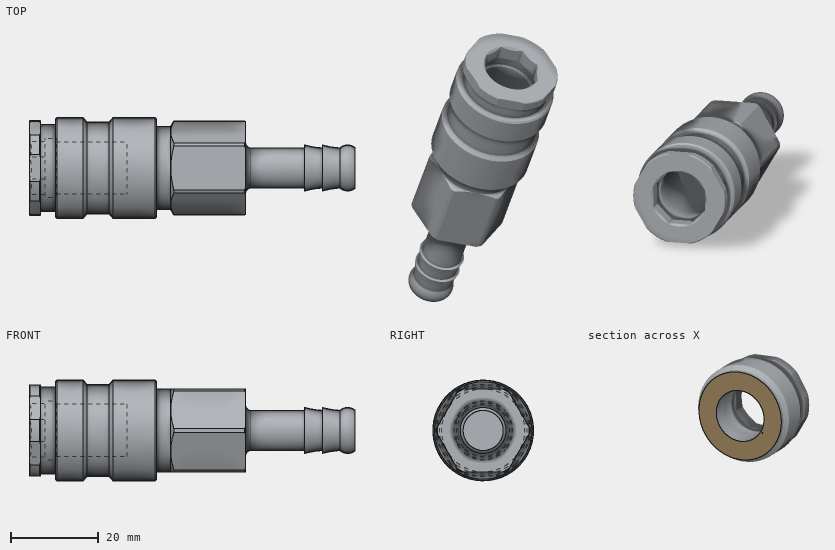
import cadquery as cq
import math

TOTAL_LENGTH = 74.5

COLLAR_DIAMETER = 21.75
COLLAR_ACROSS_FLATS = 20.85
COLLAR_LENGTH = 2.6
COLLAR_CHAMFER = 0.2

NECK_DIAMETER = 20.0
SLEEVE_START = 5.95
SLEEVE_END = 29.1
SLEEVE_DIAMETER = 23.0
SLEEVE_CHAMFER = 0.4
GROOVE_DIAMETER = 21.0
GROOVE_START = 13.2
GROOVE_END = 18.25
GROOVE_SLOPE_LENGTH = 0.9

NUT_START = 32.3
NUT_END = 49.5
NUT_ACROSS_FLATS = 19.0
NUT_DIAMETER = 21.45
NUT_CHAMFER_ANGLE = 30.0
NUT_REAR_CHAMFER = 0.2

STEM_DIAMETER = 9.2
STEM_FILLET = 1.1
BARB_DIAMETER = 10.5
BARB_START = 62.95
BARB_PITCH = 4.0
BARB_COUNT = 2
BARB_SAG = 0.11
BULB_PEAK_FROM_END = 1.8

MOUTH_DIAMETER = 13.25
MOUTH_CHAMFER_DEPTH = 0.5
OCTAGON_ACROSS_FLATS = 12.2
OCTAGON_DEPTH = 3.65
CHAMBER_DIAMETER = 13.5
CHAMBER_DEPTH = 6.1
BORE_DIAMETER = 12.0
BORE_DEPTH = 22.35


def cylinder(start, end, diameter):
    """Solid cylinder along X."""
    return cq.Workplane("YZ", origin=(start, 0, 0)).circle(diameter / 2).extrude(end - start)


def prism(start, end, sides, across_flats):
    """Regular even-sided prism along X, with flats facing +Z and -Z."""
    across_corners = across_flats / math.cos(math.pi / sides)
    return (
        cq.Workplane("YZ", origin=(start, 0, 0))
        .transformed(rotate=(0, 0, 90 + 180 / sides))
        .polygon(sides, across_corners)
        .extrude(end - start)
    )


def revolve_about_x(profile):
    """Turn a closed XY profile about the X axis."""
    return profile.close().revolve(360, (0, 0, 0), (1, 0, 0))


def make_collar():
    disc = cylinder(0, COLLAR_LENGTH, COLLAR_DIAMETER).edges().chamfer(COLLAR_CHAMFER)
    return disc.intersect(prism(0, COLLAR_LENGTH, 6, COLLAR_ACROSS_FLATS))


def make_sleeve():
    sleeve = cylinder(SLEEVE_START, SLEEVE_END, SLEEVE_DIAMETER).edges().chamfer(SLEEVE_CHAMFER)
    outer = SLEEVE_DIAMETER / 2
    inner = GROOVE_DIAMETER / 2
    groove = revolve_about_x(
        cq.Workplane("XY")
        .moveTo(GROOVE_START - GROOVE_SLOPE_LENGTH, outer)
        .lineTo(GROOVE_START, inner)
        .lineTo(GROOVE_END, inner)
        .lineTo(GROOVE_END + GROOVE_SLOPE_LENGTH, outer)
    )
    return sleeve.cut(groove)


def make_nut():
    outer = NUT_DIAMETER / 2
    flat = NUT_ACROSS_FLATS / 2
    front_chamfer = (outer - flat) * math.tan(math.radians(NUT_CHAMFER_ANGLE))
    envelope = revolve_about_x(
        cq.Workplane("XY")
        .moveTo(NUT_START, 0)
        .lineTo(NUT_START, flat)
        .lineTo(NUT_START + front_chamfer, outer)
        .lineTo(NUT_END - NUT_REAR_CHAMFER, outer)
        .lineTo(NUT_END, outer - NUT_REAR_CHAMFER)
        .lineTo(NUT_END, 0)
    )
    return envelope.intersect(prism(NUT_START, NUT_END, 6, NUT_ACROSS_FLATS))


def make_stem():
    stem = STEM_DIAMETER / 2
    barb = BARB_DIAMETER / 2
    fillet_bend = STEM_FILLET * (1 - math.sqrt(0.5))
    profile = (
        cq.Workplane("XY")
        .moveTo(NUT_END, 0)
        .lineTo(NUT_END, stem + STEM_FILLET)
        .threePointArc((NUT_END + fillet_bend, stem + fillet_bend), (NUT_END + STEM_FILLET, stem))
        .lineTo(BARB_START, stem)
    )
    for index in range(BARB_COUNT):
        start = BARB_START + index * BARB_PITCH
        middle = (start + BARB_PITCH / 2, (stem + barb) / 2 - BARB_SAG)
        profile = profile.lineTo(start, barb).threePointArc(middle, (start + BARB_PITCH, stem))
    bulb_peak = (TOTAL_LENGTH - BULB_PEAK_FROM_END, barb)
    profile = profile.threePointArc(bulb_peak, (TOTAL_LENGTH, stem)).lineTo(TOTAL_LENGTH, 0)
    return revolve_about_x(profile)


def make_socket():
    mouth = (
        cq.Workplane("XY")
        .lineTo(0, MOUTH_DIAMETER / 2)
        .lineTo(MOUTH_CHAMFER_DEPTH, OCTAGON_ACROSS_FLATS / 2)
        .lineTo(MOUTH_CHAMFER_DEPTH, 0)
    )
    return (
        prism(0, OCTAGON_DEPTH, 8, OCTAGON_ACROSS_FLATS)
        .union(revolve_about_x(mouth))
        .union(cylinder(OCTAGON_DEPTH, CHAMBER_DEPTH, CHAMBER_DIAMETER))
        .union(cylinder(CHAMBER_DEPTH, BORE_DEPTH, BORE_DIAMETER))
    )


front_neck = cylinder(COLLAR_LENGTH, SLEEVE_START, NECK_DIAMETER)
rear_neck = cylinder(SLEEVE_END, NUT_START, NUT_ACROSS_FLATS)

body = make_collar()
for section in (front_neck, make_sleeve(), rear_neck, make_nut(), make_stem()):
    body = body.union(section)

result = body.cut(make_socket())